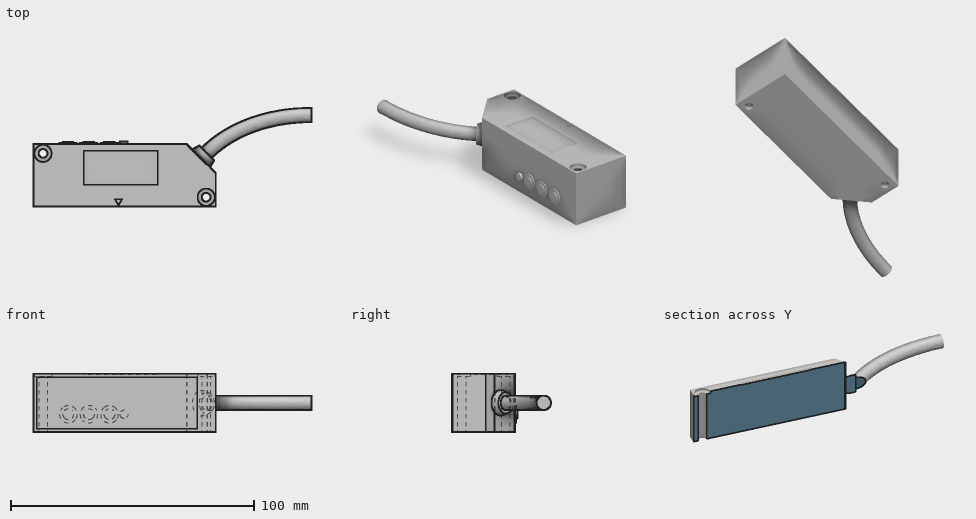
import cadquery as cq
import math

length = 75.0
depth = 26.0
height = 24.0
top_z = height / 2
corner_cut = 12.0
diagonal = math.sqrt(0.5)

panel_thickness = 0.3
rear_wrap = 11.9

window_margin = 1.4
window_length = 66.0
window_recess = 0.1

hole_inset = 4.0
hole_diameter = 3.5
bore_diameter = 7.1
bore_depth = 1.0

mark_depth = 0.2
label_length = 30.4
label_width = 13.9
label_center = (36.0, 16.1)
arrow_x = 35.0
arrow_tip_y = 0.7
arrow_width = 3.0
arrow_height = 2.5

key_count = 3
first_key_x = 14.3
key_pitch = 8.45
key_z = -4.6
key_base_diameter = 7.2
key_base_height = 0.35
key_cap_diameter = 4.4
key_cap_height = 0.75
lamp_x = 37.2
lamp_diameter = 3.4
lamp_height = 1.1

gland_base_diameter = 10.5
gland_tip_diameter = 8.8
gland_length = 3.1
gland_center = (length - corner_cut / 2, depth - corner_cut / 2)

cable_diameter = 6.0
cable_start = tuple(c + gland_length * diagonal for c in gland_center)
cable_end = (114.37, 40.78 - cable_diameter / 2)
start_reach = 12.0
end_reach = 20.0


def full_height(outline):
    """Prism over the whole height of the block."""
    return cq.Workplane("XY", origin=(0, 0, -top_z)).polyline(outline).close().extrude(height)


def make_rear_sheet():
    """Constant-thickness sheet along the rear face, folded round onto the cut corner."""
    fold = (length - corner_cut, depth)
    wrap_end = (fold[0] + rear_wrap * diagonal, fold[1] - rear_wrap * diagonal)
    inward = panel_thickness * diagonal
    inner_fold_x = fold[0] - panel_thickness * math.tan(math.pi / 8)
    outline = [
        (0, depth),
        fold,
        wrap_end,
        (wrap_end[0] - inward, wrap_end[1] - inward),
        (inner_fold_x, depth - panel_thickness),
        (0, depth - panel_thickness),
    ]
    return full_height(outline)


def make_housing():
    outline = [
        (0, panel_thickness),
        (length, panel_thickness),
        (length, depth - corner_cut),
        (length - corner_cut, depth),
        (0, depth),
    ]
    body = full_height(outline).cut(make_rear_sheet())

    top = cq.Workplane("XY", origin=(0, 0, top_z))
    hole_centers = [(hole_inset, depth - hole_inset), (length - hole_inset, hole_inset)]
    holes = top.pushPoints(hole_centers).circle(hole_diameter / 2).extrude(-height)
    bores = top.pushPoints(hole_centers).circle(bore_diameter / 2).extrude(-bore_depth)

    label = top.center(*label_center).rect(label_length, label_width).extrude(-mark_depth)
    arrow_base_y = arrow_tip_y + arrow_height
    arrow = (
        top.moveTo(arrow_x, arrow_tip_y)
        .lineTo(arrow_x + arrow_width / 2, arrow_base_y)
        .lineTo(arrow_x - arrow_width / 2, arrow_base_y)
        .close()
        .extrude(-mark_depth)
    )
    return body.cut(holes).cut(bores).cut(label).cut(arrow)


def make_front_panel():
    panel = cq.Workplane("XY").box(length, panel_thickness, height, centered=(False, False, True))
    window_height = height - 2 * window_margin
    window = (
        cq.Workplane("XY", origin=(window_margin, 0, 0))
        .box(window_length, window_recess, window_height, centered=(False, False, True))
    )
    return panel.cut(window)


def rear_disc(x, diameter, disc_height):
    """Disc standing on the outside of the rear panel."""
    return cq.Workplane("XZ", origin=(x, depth, key_z)).circle(diameter / 2).extrude(-disc_height)


def make_rear_panel():
    panel = make_rear_sheet()
    for index in range(key_count):
        key_x = first_key_x + index * key_pitch
        panel = panel.union(rear_disc(key_x, key_base_diameter, key_base_height))
        panel = panel.union(rear_disc(key_x, key_cap_diameter, key_cap_height))
    return panel.union(rear_disc(lamp_x, lamp_diameter, lamp_height))


def corner_plane(center):
    """Sketch plane at mid-height that faces out from the cut corner."""
    return cq.Plane(origin=(*center, 0), xDir=(0, 0, 1), normal=(1, 1, 0))


def make_gland():
    return (
        cq.Workplane(corner_plane(gland_center))
        .circle(gland_base_diameter / 2)
        .workplane(offset=gland_length)
        .circle(gland_tip_diameter / 2)
        .loft()
    )


def make_cable():
    start_control = tuple(c + start_reach * diagonal for c in cable_start)
    end_control = (cable_end[0] - end_reach, cable_end[1])
    path = cq.Workplane("XY").bezier([cable_start, start_control, end_control, cable_end])
    return cq.Workplane(corner_plane(cable_start)).circle(cable_diameter / 2).sweep(path)


housing = make_housing()
front_panel = make_front_panel()
rear_panel = make_rear_panel()
gland = make_gland()
cable = make_cable()

result = cq.Compound.makeCompound([
    housing.solids().val(),
    front_panel.solids().val(),
    rear_panel.solids().val(),
    gland.solids().val(),
    cable.solids().val(),
])